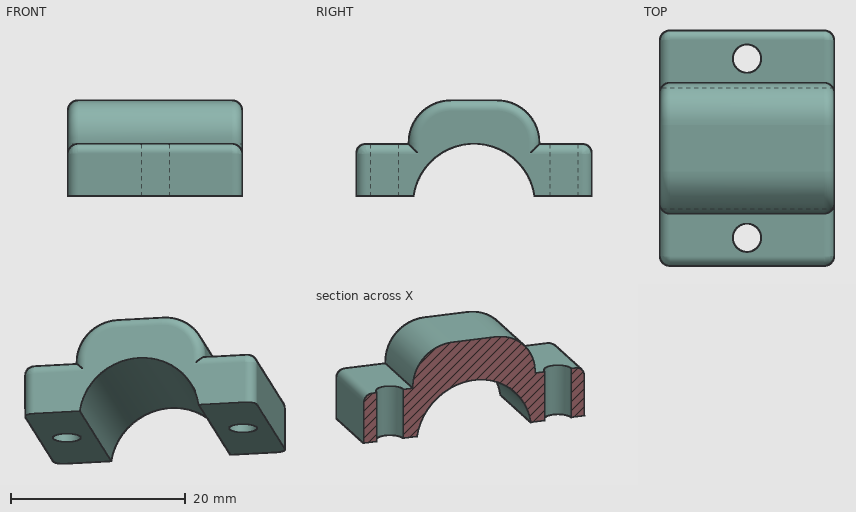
import cadquery as cq

width = 20.0
length = 27.0
height = 11.0

flange_height = 6.0
saddle_length = 15.0
saddle_radius = 4.85

bore_radius = 7.0
bore_axis_z = flange_height - bore_radius

hole_diameter = 3.2
hole_spacing = 20.52

side_fillet = 1.2
end_fillet = 1.08


def make_flanges():
    """Base block with rounded end edges, side edges and vertical corners."""
    block = cq.Workplane("XY").box(width, length, flange_height, centered=(True, True, False))
    block = block.edges("|X and >Z").fillet(end_fillet)
    return block.faces("<X or >X").edges("not <Z").fillet(side_fillet)


def make_saddle():
    """Raised middle block with large top rounds and softened side profiles."""
    block = cq.Workplane("XY").box(width, saddle_length, height, centered=(True, True, False))
    block = block.edges("|X and >Z").fillet(saddle_radius)
    return block.faces("<X or >X").edges("not <Z").fillet(side_fillet)


def cut_bore(body):
    """Cut the tube seat through the full width."""
    bore = cq.Workplane("YZ").center(0, bore_axis_z).circle(bore_radius).extrude(width / 2, both=True)
    return body.cut(bore)


def cut_screw_holes(body):
    """Drill one through hole in each flange."""
    holes = (
        cq.Workplane("XY")
        .pushPoints([(0, -hole_spacing / 2), (0, hole_spacing / 2)])
        .circle(hole_diameter / 2)
        .extrude(height)
    )
    return body.cut(holes)


body = make_flanges().union(make_saddle())
result = cut_screw_holes(cut_bore(body))